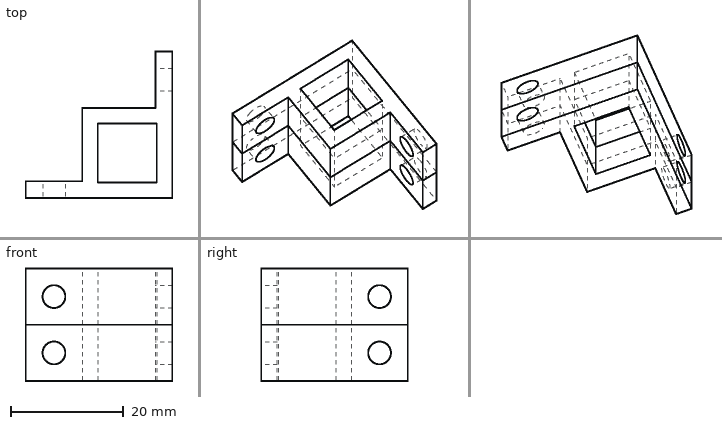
import cadquery as cq

LEG_LENGTH = 26.0
TOTAL_HEIGHT = 20.0
BRACKET_COUNT = 2
BRACKET_HEIGHT = TOTAL_HEIGHT / BRACKET_COUNT

FLANGE_REACH = 10.0
FLANGE_THICKNESS = 3.0
SOCKET_OUTER = LEG_LENGTH - FLANGE_REACH
SOCKET_INNER = 10.4

SCREW_DIAMETER = 4.0
SCREW_INSET = FLANGE_REACH / 2


def make_profile_block():
    """Square socket with one flange along -X and one along +Y; outer corner at (LEG_LENGTH, 0)."""
    return (
        cq.Workplane("XY")
        .polyline([
            (0, 0),
            (LEG_LENGTH, 0),
            (LEG_LENGTH, LEG_LENGTH),
            (LEG_LENGTH - FLANGE_THICKNESS, LEG_LENGTH),
            (LEG_LENGTH - FLANGE_THICKNESS, SOCKET_OUTER),
            (FLANGE_REACH, SOCKET_OUTER),
            (FLANGE_REACH, FLANGE_THICKNESS),
            (0, FLANGE_THICKNESS),
        ])
        .close()
        .extrude(BRACKET_HEIGHT)
    )


def make_socket_opening():
    """Square opening through the full height, centred in the socket."""
    return (
        cq.Workplane("XY")
        .center(LEG_LENGTH - SOCKET_OUTER / 2, SOCKET_OUTER / 2)
        .rect(SOCKET_INNER, SOCKET_INNER)
        .extrude(BRACKET_HEIGHT)
    )


def make_screw_hole(start, direction):
    """Round hole through one flange, from its outer face inwards."""
    return cq.Workplane(cq.Solid.makeCylinder(
        SCREW_DIAMETER / 2, FLANGE_THICKNESS, cq.Vector(*start), cq.Vector(*direction)
    ))


def make_bracket(base_height):
    """One corner bracket standing on the given height."""
    hole_height = BRACKET_HEIGHT / 2
    x_flange_hole = make_screw_hole((SCREW_INSET, 0, hole_height), (0, 1, 0))
    y_flange_hole = make_screw_hole((LEG_LENGTH, LEG_LENGTH - SCREW_INSET, hole_height), (-1, 0, 0))
    bracket = make_profile_block().cut(make_socket_opening()).cut(x_flange_hole).cut(y_flange_hole)
    return bracket.translate((0, 0, base_height))


brackets = [make_bracket(index * BRACKET_HEIGHT) for index in range(BRACKET_COUNT)]

result = cq.Compound.makeCompound([bracket.val() for bracket in brackets])